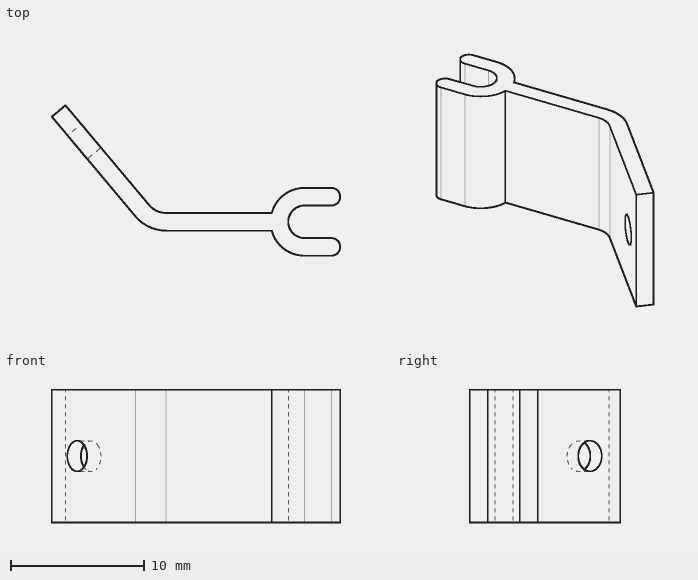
import cadquery as cq
import math

length = 21.68
height = 10.0
thickness = 1.35
clip_radius = 2.55
clip_center_x = 19.0
bend_radius = 3.0
bend_end_x = 8.59
wing_angle = 50.0
hole_diameter = 2.3
hole_from_end = 2.97

half = thickness / 2
inner_clip_radius = clip_radius - thickness
inner_bend_radius = bend_radius - thickness
tip_center_x = length - half
arm_center_y = clip_radius - half
bend_center_y = bend_radius - half
sine = math.sin(math.radians(wing_angle))
cosine = math.cos(math.radians(wing_angle))
wing_length = (bend_end_x - bend_radius * sine) / cosine


def bend_point(radius, degrees):
    """Point on the bend, at an angle turned back from the web end."""
    angle = math.radians(degrees)
    return (bend_end_x - radius * math.sin(angle), bend_center_y - radius * math.cos(angle))


def along_wing(point, distance):
    """Point moved along the wing toward its free end."""
    return (point[0] - distance * cosine, point[1] + distance * sine)


def make_strip():
    """Wing, bend and web; the web reaches into the back of the clip."""
    web_end_x = clip_center_x - (clip_radius + inner_clip_radius) / 2
    outer_bend = bend_point(bend_radius, wing_angle)
    inner_bend = bend_point(inner_bend_radius, wing_angle)
    return (
        cq.Workplane("XY")
        .moveTo(web_end_x, -half)
        .lineTo(bend_end_x, -half)
        .threePointArc(bend_point(bend_radius, wing_angle / 2), outer_bend)
        .lineTo(*along_wing(outer_bend, wing_length))
        .lineTo(*along_wing(inner_bend, wing_length))
        .lineTo(*inner_bend)
        .threePointArc(bend_point(inner_bend_radius, wing_angle / 2), (bend_end_x, half))
        .lineTo(web_end_x, half)
        .close()
        .extrude(height)
    )


def make_clip():
    """U-shaped clip opening toward +X, with fully rounded arm tips."""
    return (
        cq.Workplane("XY")
        .moveTo(tip_center_x, clip_radius)
        .lineTo(clip_center_x, clip_radius)
        .threePointArc((clip_center_x - clip_radius, 0), (clip_center_x, -clip_radius))
        .lineTo(tip_center_x, -clip_radius)
        .threePointArc((length, -arm_center_y), (tip_center_x, -inner_clip_radius))
        .lineTo(clip_center_x, -inner_clip_radius)
        .threePointArc((clip_center_x - inner_clip_radius, 0), (clip_center_x, inner_clip_radius))
        .lineTo(tip_center_x, inner_clip_radius)
        .threePointArc((length, arm_center_y), (tip_center_x, clip_radius))
        .close()
        .extrude(height)
    )


def make_hole():
    """Cutter square to the wing, centred on its mid-thickness."""
    middle = bend_point(bend_radius - half, wing_angle)
    x, y = along_wing(middle, wing_length - hole_from_end)
    plane = cq.Plane(origin=(x, y, height / 2), xDir=(0, 0, 1), normal=(sine, cosine, 0))
    return cq.Workplane(plane).circle(hole_diameter / 2).extrude(thickness, both=True)


result = make_strip().union(make_clip()).cut(make_hole())